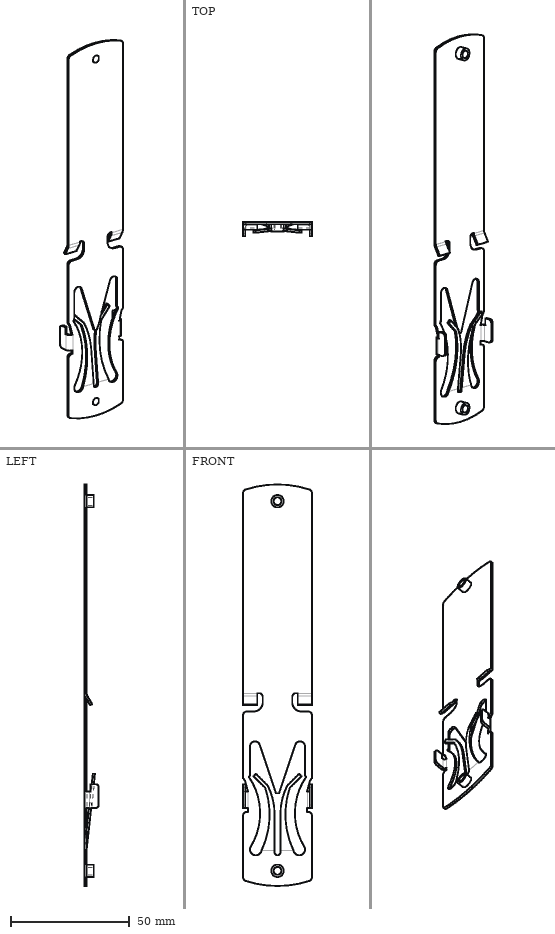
import cadquery as cq
import math

length = 169.0
width = 29.0
depth = 6.0
thickness = 1.0
half_width = width / 2
half_length = length / 2
inside_bend_radius = 1.0

end_bow = 2.5
corner_radius = 1.7

boss_diameter = 5.2
boss_hole_diameter = 3.2
boss_reach = 4.0
boss_heights = (-78.0, 77.4)

tab_top = -3.4
tab_bottom = -8.5
tab_inner_x = 8.5
tab_angle = math.radians(30)
tab_bend_radius = 2.0
relief_inner_x = 6.3
relief_bottom = -11.0
relief_top_radius = 1.5
relief_bottom_radius = 3.7

fold_z = -69.5
arm_slope = 0.11
arm_tip_z = -37.2
center_slot_half_width = 1.2
center_slot_bottom = -71.5
web_tip_z = -45.5
web_tip_half_width = 0.7

slot_top_inner = (-7.6, -24.8)
slot_top_crown = (-9.3, -23.7)
slot_top_outer = (-11.5, -25.9)
slot_step_top = (slot_top_outer[0], -37.9)
slot_step_bottom = (-12.0, -38.5)
slot_waist = (-7.3, -53.2)
slot_bottom_outer = (-11.3, -68.1)
slot_bottom_crown = (-9.3, -71.5)
arm_root_outer = (-6.8, fold_z)

arm_straight_end = (-center_slot_half_width, -53.7)
arm_inner_bow = (-2.0, -47.7)
arm_inner_elbow = (-4.0, -42.2)
arm_tip_inner = (-9.1, arm_tip_z)
arm_tip_outer = (-10.1, -38.4)
arm_outer_elbow = (-5.2, -43.1)
arm_outer_waist = (-3.4, -53.2)

ear_top = -41.5
ear_neck_top = -44.6
ear_bottom = -51.7
ear_neck_reach = 2.5
ear_corner_radius = 1.4
notch_top = -39.0
notch_bottom = -53.2
notch_mouth_bottom = -54.6
notch_shoulder = (-13.7, -40.2)
ear_outer_radius = inside_bend_radius + thickness
ear_root_x = half_width - ear_outer_radius


def front_prism(outline, reach=thickness):
    """Extrude a closed XZ outline from the back face towards -Y."""
    return outline.close().extrude(reach)


def both_sides(solid):
    return solid.union(solid.mirror("YZ"))


def make_sheet():
    shoulder = half_length - end_bow
    outline = (
        cq.Workplane("XZ")
        .moveTo(-half_width, -shoulder)
        .threePointArc((0, -half_length), (half_width, -shoulder))
        .lineTo(half_width, shoulder)
        .threePointArc((0, half_length), (-half_width, shoulder))
    )
    return front_prism(outline).edges("|Y").fillet(corner_radius)


def make_tab_relief():
    """L-shaped clearance around the left tab, open at the side edge."""
    slot = front_prism(
        cq.Workplane("XZ")
        .moveTo(-half_width, tab_top)
        .lineTo(-relief_inner_x - relief_top_radius, tab_top)
        .radiusArc((-relief_inner_x, tab_top - relief_top_radius), relief_top_radius)
        .lineTo(-relief_inner_x, relief_bottom + relief_bottom_radius)
        .radiusArc((-relief_inner_x - relief_bottom_radius, relief_bottom), relief_bottom_radius)
        .lineTo(-half_width, relief_bottom)
    )
    corner = front_prism(
        cq.Workplane("XZ")
        .moveTo(-half_width, relief_bottom)
        .lineTo(-half_width + corner_radius, relief_bottom)
        .radiusArc((-half_width, relief_bottom - corner_radius), -corner_radius)
    )
    return slot.union(corner)


def make_tab():
    """Left tab: a bend followed by a straight flap, as a side profile swept along X."""
    sin_a = math.sin(tab_angle)
    cos_a = math.cos(tab_angle)
    sin_half = math.sin(tab_angle / 2)
    cos_half = math.cos(tab_angle / 2)
    bend_center_y = -thickness - tab_bend_radius

    def on_bend(radius, sine, cosine):
        return bend_center_y + radius * cosine, tab_top - radius * sine

    back_radius = tab_bend_radius + thickness
    front_end = on_bend(tab_bend_radius, sin_a, cos_a)
    back_end = on_bend(back_radius, sin_a, cos_a)
    flap = (back_end[1] - tab_bottom) / cos_a

    def along_flap(point):
        return point[0] - flap * sin_a, point[1] - flap * cos_a

    return (
        cq.Workplane("YZ", origin=(-half_width, 0, 0))
        .moveTo(0, tab_top)
        .threePointArc(on_bend(back_radius, sin_half, cos_half), back_end)
        .lineTo(*along_flap(back_end))
        .lineTo(*along_flap(front_end))
        .lineTo(*front_end)
        .threePointArc(on_bend(tab_bend_radius, sin_half, cos_half), (-thickness, tab_top))
        .close()
        .extrude(half_width - tab_inner_x)
    )


def make_window():
    """Left half of the window, arm area included, down to the arm fold line."""
    return front_prism(
        cq.Workplane("XZ")
        .moveTo(0, web_tip_z)
        .lineTo(-web_tip_half_width, web_tip_z)
        .lineTo(*slot_top_inner)
        .threePointArc(slot_top_crown, slot_top_outer)
        .lineTo(*slot_step_top)
        .lineTo(*slot_step_bottom)
        .threePointArc(slot_waist, slot_bottom_outer)
        .threePointArc(slot_bottom_crown, arm_root_outer)
        .lineTo(-center_slot_half_width, fold_z)
        .lineTo(-center_slot_half_width, center_slot_bottom + center_slot_half_width)
        .radiusArc((0, center_slot_bottom), -center_slot_half_width)
    )


def make_arm():
    """Left spring arm: its front outline cut from a sheet leaning forward from the fold."""
    outline = front_prism(
        cq.Workplane("XZ")
        .moveTo(-center_slot_half_width, fold_z)
        .lineTo(*arm_straight_end)
        .threePointArc(arm_inner_bow, arm_inner_elbow)
        .lineTo(*arm_tip_inner)
        .lineTo(*arm_tip_outer)
        .lineTo(*arm_outer_elbow)
        .threePointArc(arm_outer_waist, arm_root_outer),
        depth,
    )
    lean = arm_slope * (arm_tip_z - fold_z)
    leaning_sheet = (
        cq.Workplane("YZ")
        .moveTo(0, fold_z)
        .lineTo(-thickness, fold_z)
        .lineTo(-thickness - lean, arm_tip_z)
        .lineTo(-lean, arm_tip_z)
        .close()
        .extrude(-half_width)
    )
    return outline.intersect(leaning_sheet)


def make_ear_notch():
    return front_prism(
        cq.Workplane("XZ")
        .moveTo(-half_width, notch_top)
        .lineTo(*notch_shoulder)
        .lineTo(-ear_root_x, ear_neck_top)
        .lineTo(-ear_root_x, notch_bottom)
        .lineTo(-half_width + corner_radius, notch_bottom)
        .radiusArc((-half_width, notch_mouth_bottom), -corner_radius)
    )


def make_ear():
    """Left ear: a quarter bend and a blade whose upper end overhangs the neck."""
    bend_slant = math.sqrt(0.5)
    inner_x = -half_width + thickness
    center_y = -ear_outer_radius
    bent_strip = (
        cq.Workplane("XY", origin=(0, 0, ear_bottom))
        .moveTo(-ear_root_x, 0)
        .threePointArc(
            (-ear_root_x - ear_outer_radius * bend_slant, center_y + ear_outer_radius * bend_slant),
            (-half_width, center_y),
        )
        .lineTo(-half_width, -depth)
        .lineTo(inner_x, -depth)
        .lineTo(inner_x, center_y)
        .threePointArc(
            (-ear_root_x - inside_bend_radius * bend_slant, center_y + inside_bend_radius * bend_slant),
            (-ear_root_x, -thickness),
        )
        .close()
        .extrude(ear_top - ear_bottom)
    )
    overhang_gap = (
        cq.Workplane("XY", origin=(-half_width, -ear_neck_reach, ear_neck_top))
        .box(half_width, ear_neck_reach, ear_top - ear_neck_top, centered=False)
    )
    ear = bent_strip.cut(overhang_gap)
    return ear.faces("<Y").edges("|X").fillet(ear_corner_radius)


def make_boss_cylinder(z, diameter):
    return cq.Workplane("XZ", origin=(0, 0, z)).circle(diameter / 2).extrude(boss_reach)


result = make_sheet()
for make_cut in (make_tab_relief, make_window, make_ear_notch):
    result = result.cut(both_sides(make_cut()))
for make_feature in (make_tab, make_arm, make_ear):
    feature = make_feature()
    result = result.union(feature).union(feature.mirror("YZ"))
for boss_z in boss_heights:
    result = result.union(make_boss_cylinder(boss_z, boss_diameter))
    result = result.cut(make_boss_cylinder(boss_z, boss_hole_diameter))